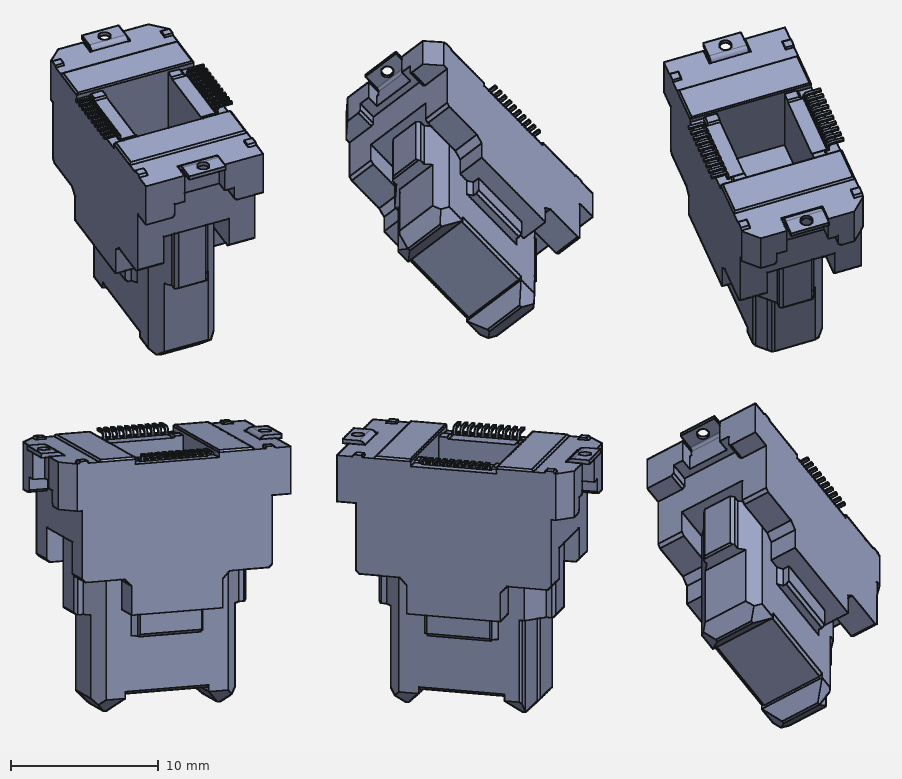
import cadquery as cq
import math

TOTAL_HEIGHT = 18.2
HALF_LENGTH = 8.7

HOUSING_HALF_Y = 4.37
HOUSING_TOP = 17.98
FLANGE_HALF_X = 8.23
FLANGE_BOTTOM = 14.7
FLANGE_CORNER = 1.0
BLOCK_HALF_X = 6.88
BLOCK_BOTTOM = 9.72
BLOCK_CHAMFER = 0.24
SKIRT_HALF_X = 3.3
SKIRT_BOTTOM = 7.19
SKIRT_SHOULDER = 0.51

CHANNEL_HALF_Y = 2.44
CHANNEL_TOP = 12.15
RECESS_HALF_X = 3.02
RECESS_FLOOR = 17.64
UNDERCUT_HALF_Y = 2.22
UNDERCUT_TOP = 15.78
UNDERCUT_FLARE = 0.18

PLUG_HALF_X = 5.22
PLUG_WIDE_HALF_X = 5.62
PLUG_WIDE_BOTTOM = 6.79
PLUG_CORNER = 1.2
TIP_SLOPE = 1.0
TIP_FLAT = 0.2
PLUG_END_HALF_X = PLUG_HALF_X - 2 * TIP_SLOPE - TIP_FLAT
PLUG_END_BOTTOM = 1.27
PLUG_END_CHAMFER = 0.2
KEY_CORNER = 1.16

RIB_HALF_X = 6.22
RIB_HALF_Y = 1.24
RIB_CHAMFER = 0.22
RIB_FOOT_CHAMFER = 0.13
LATCH_HALF_Y = 3.17
LATCH_ROOT_HALF_X = 2.58
LATCH_HALF_X = 2.22
LATCH_FLANK_END_Y = 2.7
LATCH_BOTTOM = 5.31
LATCH_CHAMFER = 0.22

BAR_OUTER_X = 5.62
RAISED_HEIGHT = 0.15
BAR_SLOPE = 0.13
BAR_INNER_SLOPE = 0.05
PAD_INNER_X = 6.4
PAD_OUTER_X = 7.15
PAD_LENGTH_Y = 0.62
PAD_INNER_SLOPE = 0.07
CORNER_PAD_INNER_X = 2.33
CORNER_PAD_OUTER_Y = 3.42
CORNER_PAD_HEIGHT = 0.13

TAB_THICKNESS = 0.3
TAB_HALF_Y = 1.36
TAB_WALL_X = 7.06
TAB_BEND = 0.5
TAB_HOLE_X = 8.0
TAB_HOLE_DIAMETER = 0.84
TAB_LEG_HALF_Y = 1.5
TAB_LEG_SHOULDER = 17.18

PIN_COUNT = 10
PIN_ROW_LENGTH = 4.5
PIN_PITCH = PIN_ROW_LENGTH / (PIN_COUNT - 1)
PIN_WIDTH = 0.2
PIN_THICKNESS = 0.15
PIN_REACH = 4.75
PIN_WALL_Y = 3.53
PIN_BEND = 0.35
PIN_FOOT_WIDTH = 0.4
PIN_FOOT_TOP = 17.75

OVERLAP = 0.18


def block(x0, x1, y0, y1, z0, z1):
    """Box between opposite corners."""
    return cq.Workplane("XY").box(x1 - x0, y1 - y0, z1 - z0, centered=False).translate((x0, y0, z0))


def prism(plane, points, half_width):
    """Closed outline extruded equally to both sides of a principal plane."""
    return cq.Workplane(plane).polyline(points).close().extrude(half_width, both=True)


def both_ends(shape):
    """The shape together with its mirror image at the other X end."""
    return shape.union(shape.mirror("YZ"))


def both_sides(shape):
    """The shape together with its mirror image at the other Y side."""
    return shape.union(shape.mirror("XZ"))


def symmetric(right_half):
    """Outline from its right half, listed from top to bottom."""
    return right_half + [(-x, z) for x, z in reversed(right_half)]


def cropped_rectangle(half_x, half_y, corner):
    """Rectangle outline with 45 degree corners."""
    return symmetric([
        (half_x - corner, half_y),
        (half_x, half_y - corner),
        (half_x, corner - half_y),
        (half_x - corner, -half_y),
    ])


def frustum(bottom, top, z0, height):
    """Raised pad between two rectangles, each given as (x0, x1, y0, y1)."""
    (bx0, bx1, by0, by1), (tx0, tx1, ty0, ty1) = bottom, top
    return (
        cq.Workplane("XY", origin=(0, 0, z0))
        .polyline([(bx0, by0), (bx1, by0), (bx1, by1), (bx0, by1)]).close()
        .workplane(offset=height)
        .polyline([(tx0, ty0), (tx1, ty0), (tx1, ty1), (tx0, ty1)]).close()
        .loft(ruled=True)
    )


def bent_strip(plane, tip, wall, bend, thickness, bottom, half_width):
    """Strip lying along the top, bent down a quarter turn into a vertical leg."""
    diagonal = math.sqrt(0.5)
    inner = bend - thickness
    center_u = wall + bend
    center_v = TOTAL_HEIGHT - bend
    return (
        cq.Workplane(plane)
        .moveTo(tip, TOTAL_HEIGHT)
        .lineTo(center_u, TOTAL_HEIGHT)
        .threePointArc((center_u - bend * diagonal, center_v + bend * diagonal), (wall, center_v))
        .lineTo(wall, bottom)
        .lineTo(wall + thickness, bottom)
        .lineTo(wall + thickness, center_v)
        .threePointArc((center_u - inner * diagonal, center_v + inner * diagonal),
                       (center_u, TOTAL_HEIGHT - thickness))
        .lineTo(tip, TOTAL_HEIGHT - thickness)
        .close()
        .extrude(half_width, both=True)
    )


def make_housing():
    outline = symmetric([
        (FLANGE_HALF_X, HOUSING_TOP),
        (FLANGE_HALF_X, FLANGE_BOTTOM),
        (BLOCK_HALF_X, FLANGE_BOTTOM),
        (BLOCK_HALF_X, BLOCK_BOTTOM + BLOCK_CHAMFER),
        (BLOCK_HALF_X - BLOCK_CHAMFER, BLOCK_BOTTOM),
        (SKIRT_HALF_X + SKIRT_SHOULDER, BLOCK_BOTTOM),
        (SKIRT_HALF_X, BLOCK_BOTTOM - SKIRT_SHOULDER),
        (SKIRT_HALF_X, SKIRT_BOTTOM),
    ])
    body = prism("XZ", outline, HOUSING_HALF_Y)

    corner = (
        cq.Workplane("XY", origin=(0, 0, FLANGE_BOTTOM))
        .polyline([
            (-FLANGE_HALF_X, HOUSING_HALF_Y),
            (-FLANGE_HALF_X + FLANGE_CORNER, HOUSING_HALF_Y),
            (-FLANGE_HALF_X, HOUSING_HALF_Y - FLANGE_CORNER),
        ])
        .close()
        .extrude(HOUSING_TOP - FLANGE_BOTTOM)
    )
    body = body.cut(both_sides(corner))

    body = body.cut(block(-FLANGE_HALF_X, FLANGE_HALF_X, -CHANNEL_HALF_Y, CHANNEL_HALF_Y, 0, CHANNEL_TOP))
    body = body.cut(block(-RECESS_HALF_X, RECESS_HALF_X, -HOUSING_HALF_Y, HOUSING_HALF_Y,
                          RECESS_FLOOR, HOUSING_TOP))
    body = body.cut(block(-RECESS_HALF_X, RECESS_HALF_X, -CHANNEL_HALF_Y, CHANNEL_HALF_Y,
                          CHANNEL_TOP, HOUSING_TOP))

    undercut_outline = symmetric([
        (UNDERCUT_HALF_Y, UNDERCUT_TOP),
        (UNDERCUT_HALF_Y, FLANGE_BOTTOM + UNDERCUT_FLARE),
        (UNDERCUT_HALF_Y + UNDERCUT_FLARE, FLANGE_BOTTOM),
    ])
    undercut = prism("YZ", undercut_outline, FLANGE_HALF_X)
    undercut = undercut.cut(block(-BLOCK_HALF_X, BLOCK_HALF_X, -HOUSING_HALF_Y, HOUSING_HALF_Y,
                                  0, TOTAL_HEIGHT))
    slot = block(TAB_WALL_X, FLANGE_HALF_X, -TAB_LEG_HALF_Y, TAB_LEG_HALF_Y, UNDERCUT_TOP, HOUSING_TOP)
    return body.cut(undercut).cut(both_ends(slot))


def make_plug():
    wide_plan = cropped_rectangle(PLUG_WIDE_HALF_X, CHANNEL_HALF_Y, PLUG_CORNER)
    envelope = cq.Workplane("XY").polyline(wide_plan).close().extrude(CHANNEL_TOP)
    wide = envelope.intersect(block(-PLUG_WIDE_HALF_X, PLUG_WIDE_HALF_X, -CHANNEL_HALF_Y, CHANNEL_HALF_Y,
                                    PLUG_WIDE_BOTTOM, CHANNEL_TOP))

    front_outline = symmetric([
        (PLUG_HALF_X, PLUG_WIDE_BOTTOM + OVERLAP),
        (PLUG_HALF_X, TIP_SLOPE),
        (PLUG_HALF_X - TIP_SLOPE, 0),
        (PLUG_HALF_X - TIP_SLOPE - TIP_FLAT, 0),
        (PLUG_END_HALF_X, TIP_SLOPE),
        (PLUG_END_HALF_X, PLUG_END_BOTTOM),
    ])
    side_outline = symmetric([
        (CHANNEL_HALF_Y, PLUG_WIDE_BOTTOM + OVERLAP),
        (CHANNEL_HALF_Y, TIP_SLOPE),
        (CHANNEL_HALF_Y - TIP_SLOPE, 0),
    ])
    narrow = (
        prism("XZ", front_outline, CHANNEL_HALF_Y)
        .intersect(prism("YZ", side_outline, PLUG_HALF_X))
        .intersect(envelope)
    )

    bevel_outline = [
        (CHANNEL_HALF_Y, PLUG_END_BOTTOM),
        (CHANNEL_HALF_Y - PLUG_END_CHAMFER, PLUG_END_BOTTOM),
        (CHANNEL_HALF_Y, PLUG_END_BOTTOM + PLUG_END_CHAMFER),
    ]
    narrow = narrow.cut(both_sides(prism("YZ", bevel_outline, PLUG_END_HALF_X)))

    key_cut = (
        cq.Workplane("XY")
        .polyline([
            (-PLUG_HALF_X, CHANNEL_HALF_Y),
            (-PLUG_HALF_X + KEY_CORNER, CHANNEL_HALF_Y),
            (-PLUG_HALF_X, CHANNEL_HALF_Y - KEY_CORNER),
        ])
        .close()
        .extrude(PLUG_WIDE_BOTTOM)
    )
    key_notch = block(-PLUG_HALF_X, -PLUG_HALF_X + TIP_SLOPE, CHANNEL_HALF_Y - TIP_SLOPE, CHANNEL_HALF_Y,
                      0, PLUG_WIDE_BOTTOM)
    return wide.union(narrow.cut(key_cut).cut(key_notch))


def make_ribs():
    root = PLUG_WIDE_HALF_X - OVERLAP
    rib = block(root, RIB_HALF_X, -RIB_HALF_Y, RIB_HALF_Y, PLUG_WIDE_BOTTOM, CHANNEL_TOP)
    rib = rib.edges("|Z and >X").chamfer(RIB_CHAMFER)
    foot = [
        (RIB_HALF_X, PLUG_WIDE_BOTTOM),
        (RIB_HALF_X - RIB_FOOT_CHAMFER, PLUG_WIDE_BOTTOM),
        (RIB_HALF_X, PLUG_WIDE_BOTTOM + RIB_FOOT_CHAMFER),
    ]
    return both_ends(rib.cut(prism("XZ", foot, RIB_HALF_Y)))


def make_latches():
    plan = symmetric([
        (LATCH_HALF_X, LATCH_HALF_Y),
        (LATCH_HALF_X, LATCH_FLANK_END_Y),
        (LATCH_ROOT_HALF_X, CHANNEL_HALF_Y),
        (LATCH_ROOT_HALF_X, CHANNEL_HALF_Y - OVERLAP),
    ])
    latch = (
        cq.Workplane("XY", origin=(0, 0, LATCH_BOTTOM))
        .polyline(plan).close()
        .extrude(SKIRT_BOTTOM + OVERLAP - LATCH_BOTTOM)
        .faces(">Y").edges("<Z").chamfer(LATCH_CHAMFER)
    )
    return both_sides(latch)


def make_bars():
    y = HOUSING_HALF_Y
    top_y = y - BAR_SLOPE
    bar = frustum(
        (RECESS_HALF_X, BAR_OUTER_X, -y, y),
        (RECESS_HALF_X + BAR_INNER_SLOPE, BAR_OUTER_X - BAR_SLOPE, -top_y, top_y),
        HOUSING_TOP, RAISED_HEIGHT,
    )
    return both_ends(bar)


def make_standoff_pads():
    y0 = HOUSING_HALF_Y - PAD_LENGTH_Y
    pad = frustum(
        (PAD_INNER_X, PAD_OUTER_X, y0, HOUSING_HALF_Y),
        (PAD_INNER_X + PAD_INNER_SLOPE, PAD_OUTER_X - RAISED_HEIGHT, y0, HOUSING_HALF_Y),
        HOUSING_TOP, RAISED_HEIGHT,
    )
    return both_sides(both_ends(pad))


def make_corner_pads():
    step = CORNER_PAD_HEIGHT
    pad = frustum(
        (CORNER_PAD_INNER_X, RECESS_HALF_X, CHANNEL_HALF_Y, CORNER_PAD_OUTER_Y),
        (CORNER_PAD_INNER_X + step, RECESS_HALF_X, CHANNEL_HALF_Y, CORNER_PAD_OUTER_Y - step),
        RECESS_FLOOR, step,
    )
    return both_sides(both_ends(pad))


def make_tabs():
    strip = bent_strip("XZ", HALF_LENGTH, TAB_WALL_X, TAB_BEND, TAB_THICKNESS, UNDERCUT_TOP, TAB_HALF_Y)
    hole = cq.Workplane("XY").center(TAB_HOLE_X, 0).circle(TAB_HOLE_DIAMETER / 2).extrude(TOTAL_HEIGHT)
    shoulder = TAB_LEG_HALF_Y - TAB_HALF_Y
    leg_outline = symmetric([
        (TAB_HALF_Y, TAB_LEG_SHOULDER + shoulder),
        (TAB_LEG_HALF_Y, TAB_LEG_SHOULDER),
        (TAB_LEG_HALF_Y, UNDERCUT_TOP),
    ])
    leg = (
        cq.Workplane("YZ", origin=(TAB_WALL_X, 0, 0))
        .polyline(leg_outline).close()
        .extrude(TAB_THICKNESS)
    )
    return both_ends(strip.cut(hole).union(leg))


def make_pins():
    root = RECESS_FLOOR - OVERLAP
    strip = bent_strip("YZ", PIN_REACH, PIN_WALL_Y, PIN_BEND, PIN_THICKNESS, root, PIN_WIDTH / 2)
    foot = block(-PIN_FOOT_WIDTH / 2, PIN_FOOT_WIDTH / 2, PIN_WALL_Y, PIN_WALL_Y + PIN_THICKNESS,
                 root, PIN_FOOT_TOP)
    pin = both_sides(strip.union(foot))
    first_x = -PIN_ROW_LENGTH / 2
    pins = cq.Workplane("XY")
    for index in range(PIN_COUNT):
        pins = pins.add(pin.translate((first_x + index * PIN_PITCH, 0, 0)))
    return pins.combine()


result = make_housing()
for feature in (
    make_plug(),
    make_ribs(),
    make_latches(),
    make_bars(),
    make_standoff_pads(),
    make_corner_pads(),
    make_tabs(),
    make_pins(),
):
    result = result.union(feature)